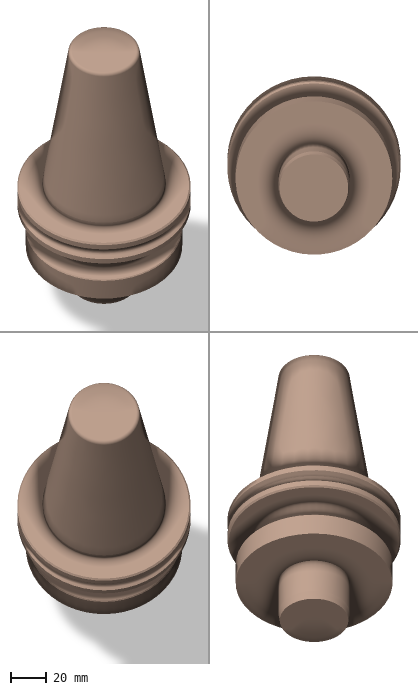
import cadquery as cq
import math

total_height = 178.6
collar_bottom = 27.3
collar_top = 41.6
flange_bottom = 58.0
flange_top = 74.1
gauge_height = 77.2

pilot_radius = 20.2
collar_radius = 44.5
neck_radius = 34.3
flange_radius = 98.4 / 2
groove_radius = 91.3 / 2
gauge_radius = 34.8

taper_slope = 7 / 24 / 2
nose_radius = gauge_radius - (total_height - gauge_height) * taper_slope
nose_fillet = 2.0

pilot_lead_length = 5.2
pilot_lead_inset = 0.7
collar_chamfer = 0.5
neck_fillet = 1.0
flange_chamfer = 0.9
land_fillet = 0.7

groove_center = (flange_bottom + flange_top) / 2
groove_floor_width = 3.4
groove_wall_angle = 30.0
groove_fillet = 1.3


def revolve_profile(points):
    """Turn a closed (radius, height) outline about the Z axis."""
    profile = cq.Workplane("XZ").polyline(points).close()
    return profile.revolve(360, (0, 0, 0), (0, 1, 0))


def cylinder(radius, bottom, top):
    return cq.Workplane("XY").workplane(offset=bottom).circle(radius).extrude(top - bottom)


def pilot():
    return revolve_profile([
        (0, 0),
        (pilot_radius - pilot_lead_inset, 0),
        (pilot_radius, pilot_lead_length),
        (pilot_radius, collar_bottom),
        (0, collar_bottom),
    ])


def collar():
    return cylinder(collar_radius, collar_bottom, collar_top).faces(">Z").edges().chamfer(collar_chamfer)


def neck():
    """Neck with concave fillets flaring out to the collar and the flange."""
    flare_radius = neck_radius + neck_fillet
    fillet_mid = neck_fillet * (1 - math.sqrt(0.5))
    return (
        cq.Workplane("XZ")
        .moveTo(0, collar_top)
        .lineTo(flare_radius, collar_top)
        .threePointArc(
            (neck_radius + fillet_mid, collar_top + fillet_mid),
            (neck_radius, collar_top + neck_fillet),
        )
        .lineTo(neck_radius, flange_bottom - neck_fillet)
        .threePointArc(
            (neck_radius + fillet_mid, flange_bottom - fillet_mid),
            (flare_radius, flange_bottom),
        )
        .lineTo(0, flange_bottom)
        .close()
        .revolve(360, (0, 0, 0), (0, 1, 0))
    )


def flange_groove():
    half_floor = groove_floor_width / 2
    wall_rise = (flange_radius - groove_radius) * math.tan(math.radians(groove_wall_angle))
    half_mouth = half_floor + wall_rise
    groove = revolve_profile([
        (groove_radius, groove_center - half_floor),
        (flange_radius, groove_center - half_mouth),
        (flange_radius, groove_center + half_mouth),
        (groove_radius, groove_center + half_floor),
    ])
    floor_edges = cq.selectors.RadiusNthSelector(0)
    return groove.edges(floor_edges).fillet(groove_fillet)


def flange():
    disc = cylinder(flange_radius, flange_bottom, flange_top)
    return disc.faces("<Z or >Z").edges().chamfer(flange_chamfer).cut(flange_groove())


def taper():
    """Steep taper over a short cylindrical land that flares into the flange."""
    flare_radius = gauge_radius + land_fillet
    fillet_mid = land_fillet * (1 - math.sqrt(0.5))
    cone = (
        cq.Workplane("XZ")
        .moveTo(0, flange_top)
        .lineTo(flare_radius, flange_top)
        .threePointArc(
            (gauge_radius + fillet_mid, flange_top + fillet_mid),
            (gauge_radius, flange_top + land_fillet),
        )
        .lineTo(gauge_radius, gauge_height)
        .lineTo(nose_radius, total_height)
        .lineTo(0, total_height)
        .close()
        .revolve(360, (0, 0, 0), (0, 1, 0))
    )
    return cone.faces(">Z").edges().fillet(nose_fillet)


result = pilot().union(collar()).union(neck()).union(flange()).union(taper())